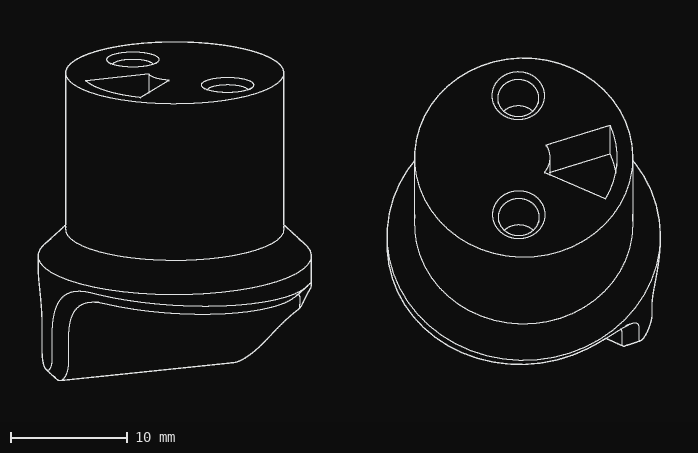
import cadquery as cq
import math

shaft_diameter = 18.72
flange_diameter = 23.44
shaft_length = 14.0
total_height = 26.36
shaft_radius = shaft_diameter / 2
flange_radius = flange_diameter / 2
shoulder_z = total_height - shaft_length
flange_top_z = shoulder_z - (flange_radius - shaft_radius)

fin_width = 4.5
fin_half = fin_width / 2
root_radius = 4.0
relief_slope = math.radians(3.8)
root_start_z = 4.55
edge_chamfer = 1.0

back_foot_y = 5.03
back_slope = math.radians(43)

hole_diameter = 3.5
hole_centres = [(5.0, 3.0), (-5.0, -2.0)]
countersink = 0.5
recess_depth = 6.0
sector_inner_radius = 2.25
sector_outer_radius = 8.0
sector_margin = 0.5
sector_angles = (math.radians(-89), math.radians(-45))

clearance = 5.0
tolerance = 1e-3


def make_body():
    """Shaft, conical shoulder and flange as one revolved solid."""
    return (
        cq.Workplane("XZ")
        .lineTo(flange_radius, 0)
        .lineTo(flange_radius, flange_top_z)
        .lineTo(shaft_radius, shoulder_z)
        .lineTo(shaft_radius, total_height)
        .lineTo(0, total_height)
        .close()
        .revolve(360, (0, 0), (0, 1))
    )


def make_side_relief(side):
    """Material removed on one side of the fin (side is +1 or -1), swept along the slope."""
    front_y = -flange_radius - clearance
    length = 2 * (flange_radius + clearance)
    start_z = root_start_z + clearance * math.tan(relief_slope)
    ceiling_z = start_z + root_radius
    outer_x = flange_radius + clearance
    arc_offset = root_radius * (1 - math.cos(math.radians(45)))
    profile = (
        cq.Workplane("XZ", origin=(0, front_y, 0))
        .moveTo(side * fin_half, -clearance)
        .lineTo(side * fin_half, start_z)
        .threePointArc(
            (side * (fin_half + arc_offset), ceiling_z - arc_offset),
            (side * (fin_half + root_radius), ceiling_z),
        )
        .lineTo(side * outer_x, ceiling_z)
        .lineTo(side * outer_x, -clearance)
        .close()
    )
    path_end = (0, front_y + length, -length * math.tan(relief_slope))
    path = cq.Workplane("XY").polyline([(0, front_y, 0), path_end])
    return profile.sweep(path)


def make_underside_cut():
    """Material below the fin's full-round underside."""
    width = 2 * (flange_radius + clearance)
    round_zone = cq.Workplane("XY").box(width, width, fin_half, centered=(True, True, False))
    round_bar = (
        cq.Workplane("XZ", origin=(0, width / 2, 0))
        .center(0, fin_half)
        .circle(fin_half)
        .extrude(width)
    )
    return round_zone.cut(round_bar)


def make_back_cut():
    """Wedge that slopes the back of the fin upwards."""
    reach = flange_radius + clearance
    rise = (reach - back_foot_y) * math.tan(back_slope)
    drop_y = back_foot_y - clearance / math.tan(back_slope)
    return (
        cq.Workplane("YZ")
        .polyline([(drop_y, -clearance), (reach, rise), (reach, -clearance)])
        .close()
        .extrude(reach, both=True)
    )


def is_rim_edge(edge):
    """True for the lower edges of the flange's outer cylinder (not its top circle or seam)."""
    samples = edge.positions([0, 0.25, 0.5, 0.75, 1])
    on_cylinder = all(abs(math.hypot(p.x, p.y) - flange_radius) < tolerance for p in samples)
    on_top_circle = edge.BoundingBox().zmin > flange_top_z - tolerance
    is_seam = edge.geomType() == "LINE"
    return on_cylinder and not on_top_circle and not is_seam


def make_hole(centre):
    """Blind hole with a 45 degree countersink."""
    radius = hole_diameter / 2
    mouth_radius = radius + countersink
    bottom_z = total_height - recess_depth
    return (
        cq.Workplane("XZ")
        .moveTo(0, bottom_z)
        .lineTo(radius, bottom_z)
        .lineTo(radius, total_height - countersink)
        .lineTo(mouth_radius, total_height)
        .lineTo(0, total_height)
        .close()
        .revolve(360, (0, 0), (0, 1))
        .translate((centre[0], centre[1], 0))
    )


def sector_point(radius, angle, side):
    """Point at a radius on the line parallel to the ray at angle, offset to one side of it."""
    along = math.sqrt(radius**2 - sector_margin**2)
    offset = side * sector_margin
    x = along * math.cos(angle) - offset * math.sin(angle)
    y = along * math.sin(angle) + offset * math.cos(angle)
    return (x, y)


def make_sector_pocket():
    """Ring-sector pocket with its straight sides pushed outwards by the margin."""
    start_angle, end_angle = sector_angles
    middle = (start_angle + end_angle) / 2
    inner_middle = (sector_inner_radius * math.cos(middle), sector_inner_radius * math.sin(middle))
    outer_middle = (sector_outer_radius * math.cos(middle), sector_outer_radius * math.sin(middle))
    return (
        cq.Workplane("XY", origin=(0, 0, total_height - recess_depth))
        .moveTo(*sector_point(sector_inner_radius, start_angle, -1))
        .lineTo(*sector_point(sector_outer_radius, start_angle, -1))
        .threePointArc(outer_middle, sector_point(sector_outer_radius, end_angle, 1))
        .lineTo(*sector_point(sector_inner_radius, end_angle, 1))
        .threePointArc(inner_middle, sector_point(sector_inner_radius, start_angle, -1))
        .close()
        .extrude(recess_depth)
    )


body = make_body()
for side in (1, -1):
    body = body.cut(make_side_relief(side))
body = body.cut(make_underside_cut()).cut(make_back_cut())
rim_edges = [edge for edge in body.edges().vals() if is_rim_edge(edge)]
body = body.newObject(rim_edges).chamfer(edge_chamfer)

for centre in hole_centres:
    body = body.cut(make_hole(centre))
body = body.cut(make_sector_pocket())

result = body